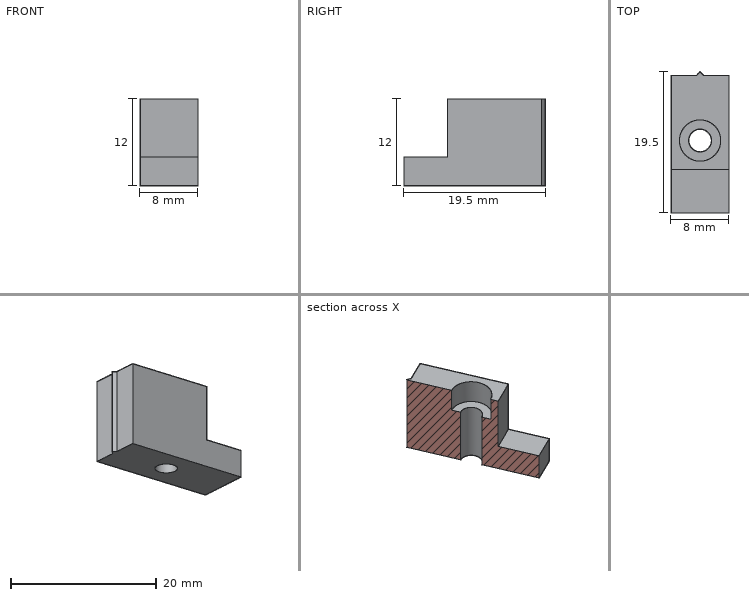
import cadquery as cq

width = 8.0
body_length = 19.0
height = 12.0

toe_length = 6.0
toe_height = 4.0

hole_from_front = 10.0
hole_diameter = 3.1
counterbore_diameter = 5.7
counterbore_depth = 3.5

ridge_projection = 0.5
ridge_half_width = 0.5


def stepped_body():
    """L-shaped side profile, centred across X, with its front face at Y = 0."""
    profile = [
        (0, 0),
        (body_length, 0),
        (body_length, height),
        (toe_length, height),
        (toe_length, toe_height),
        (0, toe_height),
    ]
    return cq.Workplane("YZ").polyline(profile).close().extrude(width / 2, both=True)


def rear_ridge():
    """Full-height triangular ridge centred on the rear face."""
    profile = [
        (-ridge_half_width, body_length),
        (ridge_half_width, body_length),
        (0, body_length + ridge_projection),
    ]
    return cq.Workplane("XY").polyline(profile).close().extrude(height)


def screw_hole(body):
    """Cut the through hole and its counterbore down from the top face."""
    return (
        body.faces(">Z")
        .workplane(origin=(0, hole_from_front, height))
        .cboreHole(hole_diameter, counterbore_diameter, counterbore_depth)
    )


result = screw_hole(stepped_body().union(rear_ridge()))